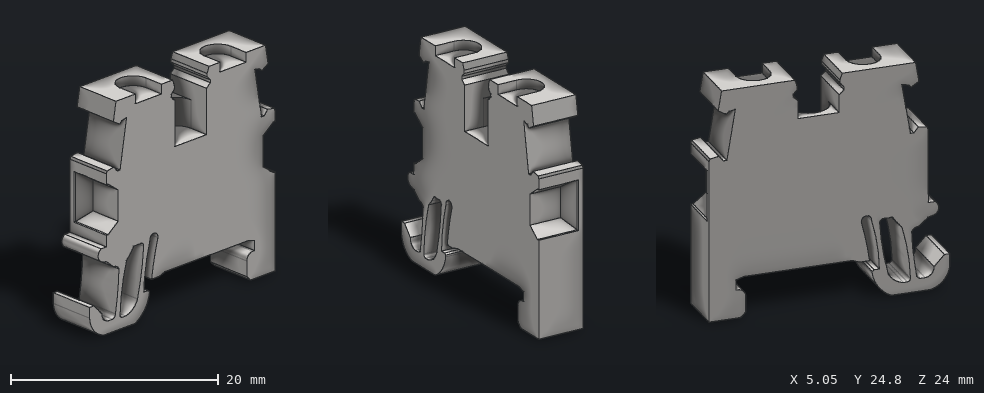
import cadquery as cq


THICKNESS = 5.05
HEIGHT = 24.0
LENGTH = 24.8
BODY_HALF = 11.28
HOOK_END = BODY_HALF - LENGTH

CHANNEL_HALF = 2.1
CHANNEL_FLOOR = 19.95
GROOVE_DEPTH = 0.5
GROOVE_LOW = 21.8
GROOVE_HIGH = 23.0
GROOVE_MIDDLE = (GROOVE_LOW + GROOVE_HIGH) / 2
GROOVE_FLAT = 0.15
MOUTH_HALF = 2.43
MOUTH_STEP = 0.07
MOUTH_LIP_HALF = CHANNEL_HALF + MOUTH_STEP
MOUTH_LIP_TOP = 23.34

HEAD_HALF = 10.0
HEAD_LOW_HALF = 10.35
HEAD_LOW = 21.97
TOOTH_HALF = 9.52
TOOTH_TIP = 21.48
TOOTH_INNER_HALF = 9.2
TOOTH_INNER = 21.75
NECK_TOP_HALF = 8.58
NECK_TOP = 21.87
NECK_LOW_HALF = 9.45
NECK_LOW = 16.67
GUTTER_HALF = 9.8
SHOULDER_HALF = 10.27
SHOULDER = 17.2
SHOULDER_BEVEL = 0.1
SHOULDER_EDGE_HALF = BODY_HALF - SHOULDER_BEVEL
SHOULDER_EDGE = 17.05
SHOULDER_CORNER = 16.8

LEG_INNER = 7.5
LEG_CHAMFER = 0.52
LEG_TOP = 2.95
LEG_ROUND = 0.8
RAIL_WALL = 8.5
RAIL_WALL_TOP = 4.0
SEAT = 4.25
SEAT_START = 7.7
SEAT_END = -3.45
LIP = 3.97
LIP_START = -4.25
LIP_END = -5.23

SLOT_TOP = 8.7
SLOT_SIDES_TOP = 8.1
SLOT_LEFT = -4.4
SLOT_RIGHT = -5.45
SLOT_MIDDLE = (SLOT_LEFT + SLOT_RIGHT) / 2
SLOT_FOOT = -6.25
SLOT_LEFT_BOW = (-4.94, 5.8)
SLOT_RIGHT_BOW = (-6.03, 5.58)

TOE_START = -5.7
TOE_TIP = -5.5
TOE_CORNER = 0.15
TOE_LOW = 2.63
TOE_BOW = (-6.2, 1.02)
HOOK_FLAT_START = -7.45
HOOK_FLAT_END = -11.55
HOOK_BOW = (-12.95, 0.87)
HOOK_TIP_LOW = 2.35
HOOK_TIP_TOP = 3.47
HOOK_TIP_INNER = -12.95
THROAT_EDGE = (-11.88, 2.35)
THROAT_BOW = (-11.6, 1.64)
THROAT_FLOOR = 1.35
THROAT_FLOOR_START = -10.95
THROAT_FLOOR_END = -10.47
THROAT_CORNER_BOW = (-10.2, 1.5)
THROAT_CORNER = (-10.07, 1.79)
ARM_BOW = (-9.72, 4.35)
ARM_TOP = (-9.6, 6.35)

NOSE_ROOT_BOW = (-9.82, 6.65)
NOSE_ROOT = (-10.32, 6.8)
NOSE_NECK = (-11.25, 7.6)
NOSE_LOW = (-11.7, 7.71)
NOSE_TIP = (-12.38, 8.5)
NOSE_TOP = 9.15
NOSE_TOP_START = -11.98

WINDOW_TOP = 8.15
WINDOW_TOP_LEFT = -6.67
WINDOW_TOP_RIGHT = -7.61
WINDOW_LEFT_HIGH = (-6.3, 7.75)
WINDOW_LEFT_CORNER = (-6.4, 8.04)
WINDOW_SLOPE = (-8.04, 7.55)
WINDOW_RIGHT_HIGH = (-8.58, 6.95)
WINDOW_RIGHT_BOW = (-9.15, 4.46)
WINDOW_RIGHT_LOW = (-9.45, 1.5)
WINDOW_RIGHT_CORNER = (-9.35, 1.26)
WINDOW_BOTTOM = 1.17
WINDOW_BOTTOM_RIGHT = -9.13
WINDOW_BOTTOM_LEFT = -8.73
WINDOW_LEFT_CURVE = (-7.75, 1.6)
WINDOW_LEFT_LOW = (-7.12, 2.48)
WINDOW_LEFT_BOW = (-6.57, 5.2)

SCREW_OFFSET = 5.65
SCREW_RADIUS = 1.74
SCREW_LEFT = 1.2
SCREW_DEPTH = 1.02
BRIDGE_LEFT = 0.82
BRIDGE_DEPTH = 2.98
ENTRY_LEFT = 0.55
ENTRY_LOW = 10.37
ENTRY_HIGH = 15.65
ENTRY_TAPER = 1.02
ENTRY_DEPTH = 1.59
ENTRY_STRAIGHT = 0.25


def upper_half():
    """Points from the channel floor over the head to the end face, as (distance from Y = 0, Z)."""
    groove_half = CHANNEL_HALF + GROOVE_DEPTH
    return [
        (CHANNEL_HALF, CHANNEL_FLOOR),
        (CHANNEL_HALF, GROOVE_LOW),
        (groove_half, GROOVE_MIDDLE - GROOVE_FLAT),
        (groove_half, GROOVE_MIDDLE + GROOVE_FLAT),
        (MOUTH_LIP_HALF, GROOVE_HIGH),
        (MOUTH_LIP_HALF, MOUTH_LIP_TOP),
        (MOUTH_HALF, HEIGHT),
        (HEAD_HALF, HEIGHT),
        (HEAD_LOW_HALF, HEAD_LOW),
        (TOOTH_HALF, TOOTH_TIP),
        (TOOTH_INNER_HALF, TOOTH_INNER),
        (NECK_TOP_HALF, NECK_TOP),
        (NECK_LOW_HALF, NECK_LOW),
        (GUTTER_HALF, NECK_LOW),
        (SHOULDER_HALF, SHOULDER),
        (SHOULDER_EDGE_HALF, SHOULDER_EDGE),
        (BODY_HALF, SHOULDER_CORNER),
    ]


def add_top(wire):
    """From the -Y shoulder over the head and channel to the +Y shoulder."""
    right = upper_half()
    left = [(-distance, z) for distance, z in reversed(right)]
    return wire.polyline(left + right)


def add_leg_and_seat(wire):
    """Down the +Y face, around the fixed leg and along the rail seat to the lip."""
    return (
        wire.lineTo(BODY_HALF, 0)
        .lineTo(LEG_INNER + LEG_CHAMFER, 0)
        .lineTo(LEG_INNER, LEG_CHAMFER)
        .lineTo(LEG_INNER, LEG_TOP - LEG_ROUND)
        .tangentArcPoint((LEG_INNER + LEG_ROUND, LEG_TOP), relative=False)
        .lineTo(RAIL_WALL, LEG_TOP)
        .lineTo(RAIL_WALL, RAIL_WALL_TOP)
        .lineTo(SEAT_START, SEAT)
        .lineTo(SEAT_END, SEAT)
        .lineTo(LIP_START, LIP)
        .lineTo(LIP_END, LIP)
    )


def add_flex_slot(wire):
    """Up and down the two slightly curved sides of the flex slot."""
    return (
        wire.threePointArc(SLOT_LEFT_BOW, (SLOT_LEFT, SLOT_SIDES_TOP))
        .threePointArc((SLOT_MIDDLE, SLOT_TOP), (SLOT_RIGHT, SLOT_SIDES_TOP))
        .threePointArc(SLOT_RIGHT_BOW, (SLOT_FOOT, LEG_TOP))
    )


def add_hook(wire):
    """Around the toe, the rounded underside, the hook tip and the throat to the arm's top."""
    return (
        wire.lineTo(TOE_START, LEG_TOP)
        .lineTo(TOE_TIP, LEG_TOP - TOE_CORNER)
        .lineTo(TOE_TIP, TOE_LOW)
        .threePointArc(TOE_BOW, (HOOK_FLAT_START, 0))
        .lineTo(HOOK_FLAT_END, 0)
        .threePointArc(HOOK_BOW, (HOOK_END, HOOK_TIP_LOW))
        .lineTo(HOOK_END, HOOK_TIP_TOP)
        .lineTo(HOOK_TIP_INNER, HOOK_TIP_TOP)
        .lineTo(*THROAT_EDGE)
        .threePointArc(THROAT_BOW, (THROAT_FLOOR_START, THROAT_FLOOR))
        .lineTo(THROAT_FLOOR_END, THROAT_FLOOR)
        .threePointArc(THROAT_CORNER_BOW, THROAT_CORNER)
        .threePointArc(ARM_BOW, ARM_TOP)
    )


def add_nose(wire):
    """From the top of the hook arm around the release nose to the -Y face."""
    return (
        wire.threePointArc(NOSE_ROOT_BOW, NOSE_ROOT)
        .lineTo(*NOSE_NECK)
        .lineTo(*NOSE_LOW)
        .threePointArc(NOSE_TIP, (NOSE_TOP_START, NOSE_TOP))
        .lineTo(-BODY_HALF, NOSE_TOP)
    )


def body():
    """The side profile extruded through the thickness."""
    wire = add_top(cq.Workplane("YZ"))
    wire = add_leg_and_seat(wire)
    wire = add_flex_slot(wire)
    wire = add_hook(wire)
    wire = add_nose(wire)
    return wire.close().extrude(THICKNESS)


def hook_window():
    """Opening through the thickness between the two thin legs of the hook arm."""
    return (
        cq.Workplane("YZ")
        .moveTo(*WINDOW_LEFT_HIGH)
        .threePointArc(WINDOW_LEFT_CORNER, (WINDOW_TOP_LEFT, WINDOW_TOP))
        .lineTo(WINDOW_TOP_RIGHT, WINDOW_TOP)
        .lineTo(*WINDOW_SLOPE)
        .lineTo(*WINDOW_RIGHT_HIGH)
        .threePointArc(WINDOW_RIGHT_BOW, WINDOW_RIGHT_LOW)
        .threePointArc(WINDOW_RIGHT_CORNER, (WINDOW_BOTTOM_RIGHT, WINDOW_BOTTOM))
        .lineTo(WINDOW_BOTTOM_LEFT, WINDOW_BOTTOM)
        .threePointArc(WINDOW_LEFT_CURVE, WINDOW_LEFT_LOW)
        .threePointArc(WINDOW_LEFT_BOW, WINDOW_LEFT_HIGH)
        .close()
        .extrude(THICKNESS)
    )


def round_ended_slot(y, left, radius, top, depth):
    """Vertical pocket with a round end at X = left, open on the +X face."""
    center = left + radius
    return (
        cq.Workplane("XY", origin=(0, y, top - depth))
        .moveTo(THICKNESS, -radius)
        .lineTo(center, -radius)
        .threePointArc((left, 0), (center, radius))
        .lineTo(THICKNESS, radius)
        .close()
        .extrude(depth)
    )


def wire_entry():
    """Pocket in the -Y face with a straight mouth and a tapered inside, open on the +X face."""
    mouth_width = THICKNESS - ENTRY_LEFT
    mouth_height = ENTRY_HIGH - ENTRY_LOW
    floor_width = mouth_width - ENTRY_TAPER
    floor_height = mouth_height - 2 * ENTRY_TAPER
    middle = (ENTRY_LOW + ENTRY_HIGH) / 2
    mouth_center = (THICKNESS - mouth_width / 2, -BODY_HALF, middle)
    mouth_plane = cq.Workplane(cq.Plane(origin=mouth_center, xDir=(1, 0, 0), normal=(0, 1, 0)))
    mouth = mouth_plane.rect(mouth_width, mouth_height).extrude(ENTRY_STRAIGHT)
    funnel = (
        mouth_plane.workplane(offset=ENTRY_STRAIGHT)
        .rect(mouth_width, mouth_height)
        .workplane(offset=ENTRY_DEPTH - ENTRY_STRAIGHT)
        .center((mouth_width - floor_width) / 2, 0)
        .rect(floor_width, floor_height)
        .loft(ruled=True)
    )
    return mouth.union(funnel)


result = body().cut(hook_window())

for side in (-1, 1):
    screw_slot = round_ended_slot(side * SCREW_OFFSET, SCREW_LEFT, SCREW_RADIUS, HEIGHT, SCREW_DEPTH)
    result = result.cut(screw_slot)

bridge_slot = round_ended_slot(0, BRIDGE_LEFT, CHANNEL_HALF, CHANNEL_FLOOR, BRIDGE_DEPTH)
result = result.cut(bridge_slot)

entry = wire_entry()
result = result.cut(entry).cut(entry.mirror("XZ"))